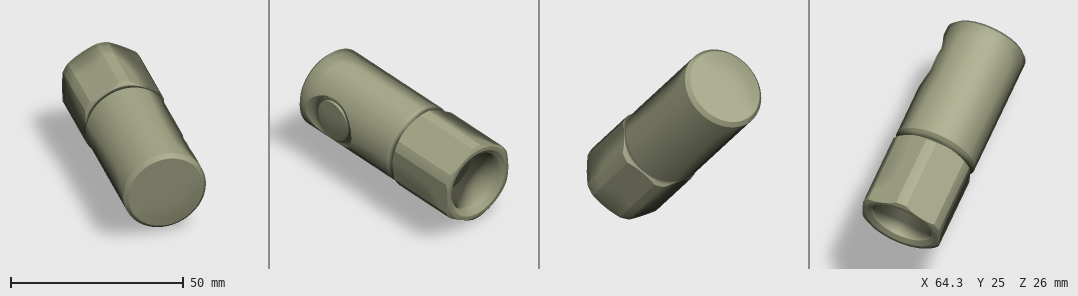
import cadquery as cq

length = 64.3
body_diameter = 25.0
body_radius = body_diameter / 2
body_end_chamfer = 1.15

hex_length = 23.7
hex_across_flats = 23.9
hex_corner_diameter = 26.0
hex_front_chamfer = 0.65
hex_rear_chamfer = 0.85

neck_radius = 10.7
neck_length = 2.05

bore_radius = 9.45
bore_mouth_radius = 10.8
bore_lead_in = 1.1
bore_depth = 12.6

recess_x = 50.8
recess_mouth_radius = 9.9
recess_depth = 2.6
recess_wall_run = 2.45
post_radius = 6.35
post_height = 0.8


def revolve_about_x(points):
    """Revolve a closed (x, radius) outline about the part axis."""
    return cq.Workplane("XY").polyline(points).close().revolve(360, (0, 0, 0), (1, 0, 0))


def make_hexagon():
    """Hexagon with flats facing Y, rounded corners and chamfered ends."""
    flat_radius = hex_across_flats / 2
    corner_radius = hex_corner_diameter / 2
    prism = (
        cq.Workplane("YZ")
        .polygon(6, hex_across_flats, circumscribed=True)
        .extrude(hex_length)
    )
    envelope = revolve_about_x([
        (0, 0),
        (0, flat_radius),
        (hex_front_chamfer, corner_radius),
        (hex_length - hex_rear_chamfer, corner_radius),
        (hex_length, flat_radius),
        (hex_length, 0),
    ])
    return prism.intersect(envelope)


def make_body():
    """Round body with a tapered neck and a chamfered far end."""
    return revolve_about_x([
        (hex_length, 0),
        (hex_length, neck_radius),
        (hex_length + neck_length, body_radius),
        (length - body_end_chamfer, body_radius),
        (length, body_radius - body_end_chamfer),
        (length, 0),
    ])


def make_bore():
    """Blind bore with a conical lead-in at its mouth."""
    return revolve_about_x([
        (0, 0),
        (0, bore_mouth_radius),
        (bore_lead_in, bore_radius),
        (bore_depth, bore_radius),
        (bore_depth, 0),
    ])


def make_recess():
    """Conical recess in the +Y side around a low flat-topped post."""
    floor_y = body_radius - recess_depth
    post_top_y = floor_y + post_height
    return (
        cq.Workplane("XY")
        .moveTo(recess_x, post_top_y)
        .lineTo(recess_x + post_radius, post_top_y)
        .lineTo(recess_x + post_radius, floor_y)
        .lineTo(recess_x + recess_mouth_radius - recess_wall_run, floor_y)
        .lineTo(recess_x + recess_mouth_radius, body_radius)
        .lineTo(recess_x, body_radius)
        .close()
        .revolve(360, (recess_x, 0, 0), (recess_x, 1, 0))
    )


result = make_hexagon().union(make_body()).cut(make_bore()).cut(make_recess())